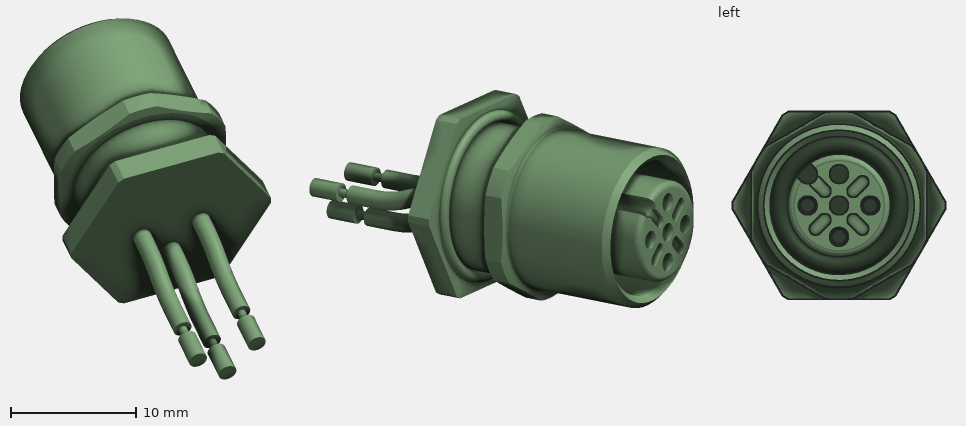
import cadquery as cq
import math


sleeve_front = 1.5
nut_front = 11.1
nut_rear = 13.0
flange_front = 17.2
flange_rear = 19.2

sleeve_diameter = 13.0
sleeve_bore_diameter = 11.0
sleeve_rim_diameter = 12.0
rim_chamfer = (sleeve_diameter - sleeve_rim_diameter) / 2
bore_chamfer = (sleeve_rim_diameter - sleeve_bore_diameter) / 2
neck_diameter = 12.0

nut_across_flats = 14.0
nut_corner_diameter = 15.0
blend_radius = 0.25
nut_face_diameter = sleeve_diameter + 2 * blend_radius
nut_chamfer_length = 0.2

flange_across_flats = 15.0
flange_corner_diameter = 17.0

insert_diameter = 8.2
insert_fillet = 0.5
contact_offset = 2.5
contact_hole_diameter = 1.5
contact_bore_diameter = 1.15
funnel_start = 2.5
funnel_length = 1.0
contact_hole_depth = 6.0
coding_notch_width = 1.5
coding_notch_radius = 3.5
coding_notch_angle = 45
slot_length = 2.03
slot_width = 1.0
slot_depth = 0.5
slot_center_radius = 2.13

inner_ring_section = (sleeve_bore_diameter - insert_diameter) / 2
inner_ring_radius = (sleeve_bore_diameter + insert_diameter) / 4
inner_ring_center = 8.0
bore_end = inner_ring_center + inner_ring_section / 2
coding_notch_depth = inner_ring_center - inner_ring_section / 2

flange_ring_section = 1.0
flange_ring_radius = (neck_diameter + flange_ring_section) / 2

wire_diameter = 1.5
core_diameter = 0.7
bend_start = 20.15
bend_length = 6.0
bend_drop = 1.2
bare_core_start = 28.6
bare_core_end = 29.6
wire_end = 32.15

contact_places = [
    (0, 0),
    (0, contact_offset),
    (contact_offset, 0),
    (-contact_offset, 0),
    (0, -contact_offset),
]
wired_places = contact_places[2:]


def section_plane(x):
    """Plane across the axis: local x is Y, local y is Z, normal is +X."""
    return cq.Workplane("YZ", origin=(x, 0, 0))


def disc(diameter, start, end, place=(0, 0)):
    return section_plane(start).center(*place).circle(diameter / 2).extrude(end - start)


def revolve_about_axis(profile):
    return profile.close().revolve(360, (0, 0, 0), (1, 0, 0))


def hexagon(across_flats, corner_diameter, start, end, turn):
    """Hexagonal plate with its corners cut back to a circle."""
    across_corners = across_flats / math.cos(math.pi / 6)
    plate = section_plane(start).polygon(6, across_corners).extrude(end - start)
    plate = plate.rotate((0, 0, 0), (1, 0, 0), turn)
    return plate.intersect(disc(corner_diameter, start, end))


def make_nut():
    face_radius = nut_face_diameter / 2
    corner_radius = nut_corner_diameter / 2
    envelope = revolve_about_axis(
        cq.Workplane("XY")
        .moveTo(nut_front, 0)
        .lineTo(nut_front, face_radius)
        .lineTo(nut_front + nut_chamfer_length, corner_radius)
        .lineTo(nut_rear - nut_chamfer_length, corner_radius)
        .lineTo(nut_rear, face_radius)
        .lineTo(nut_rear, 0)
    )
    return hexagon(nut_across_flats, nut_corner_diameter, nut_front, nut_rear, 30).intersect(envelope)


def make_sealing_ring(center, ring_radius, section_diameter):
    profile = cq.Workplane("XY").center(center, ring_radius).circle(section_diameter / 2)
    return profile.revolve(360, (0, -ring_radius, 0), (1, -ring_radius, 0))


def make_shell():
    """Sleeve, nut, neck and flange, with the sleeve bored out from the front."""
    rim_radius = sleeve_rim_diameter / 2
    outer_radius = sleeve_diameter / 2
    bore_radius = sleeve_bore_diameter / 2
    blend_mid = blend_radius * (1 - math.sqrt(0.5))
    shell = revolve_about_axis(
        cq.Workplane("XY")
        .moveTo(bore_end, 0)
        .lineTo(bore_end, bore_radius)
        .lineTo(sleeve_front + bore_chamfer, bore_radius)
        .lineTo(sleeve_front, rim_radius)
        .lineTo(sleeve_front + rim_chamfer, outer_radius)
        .lineTo(nut_front - blend_radius, outer_radius)
        .threePointArc(
            (nut_front - blend_mid, outer_radius + blend_mid),
            (nut_front, outer_radius + blend_radius),
        )
        .lineTo(nut_rear, outer_radius)
        .lineTo(nut_rear, neck_diameter / 2)
        .lineTo(flange_front, neck_diameter / 2)
        .lineTo(flange_front, 0)
    )
    flange = hexagon(flange_across_flats, flange_corner_diameter, flange_front, flange_rear, 0)
    return shell.union(make_nut()).union(flange)


def make_wire(place):
    y, z = place
    half_length = bend_length / 2
    half_drop = bend_drop / 2
    bend_radius = (half_length**2 + half_drop**2) / (2 * half_drop)
    bend_angle = math.asin(half_length / bend_radius)
    arc_x = bend_radius * math.sin(bend_angle / 2)
    arc_drop = bend_radius * (1 - math.cos(bend_angle / 2))
    bend_end = bend_start + bend_length
    path = (
        cq.Workplane("XZ", origin=(0, y, 0))
        .moveTo(flange_rear, z)
        .lineTo(bend_start, z)
        .threePointArc((bend_start + arc_x, z - arc_drop), (bend_start + half_length, z - half_drop))
        .threePointArc((bend_end - arc_x, z - bend_drop + arc_drop), (bend_end, z - bend_drop))
        .lineTo(bare_core_start, z - bend_drop)
    )
    insulation = section_plane(flange_rear).center(y, z).circle(wire_diameter / 2).sweep(path)
    end_place = (y, z - bend_drop)
    core = disc(core_diameter, bare_core_start, bare_core_end, end_place)
    tip = disc(wire_diameter, bare_core_end, wire_end, end_place)
    return insulation.union(core).union(tip)


def cut_contact_holes(insert):
    for place in contact_places:
        if place in wired_places:
            funnel = section_plane(funnel_start).center(*place).circle(contact_hole_diameter / 2)
            funnel = funnel.workplane(offset=funnel_length).circle(contact_bore_diameter / 2).loft()
            insert = insert.cut(disc(contact_hole_diameter, 0, funnel_start, place)).cut(funnel)
            insert = insert.cut(disc(contact_bore_diameter, funnel_start, contact_hole_depth, place))
        else:
            insert = insert.cut(disc(contact_hole_diameter, 0, contact_hole_depth, place))
    return insert


def cut_slots(insert):
    for angle in range(45, 360, 90):
        slot = section_plane(0).center(slot_center_radius, 0).slot2D(slot_length, slot_width)
        slot = slot.extrude(slot_depth)
        insert = insert.cut(slot.rotate((0, 0, 0), (1, 0, 0), angle))
    return insert


def cut_coding_notch(insert):
    """Round-bottomed groove along the insert, open to its outside."""
    cutter_length = insert_diameter
    middle = coding_notch_radius + (cutter_length - coding_notch_width) / 2
    notch = section_plane(0).center(middle, 0).slot2D(cutter_length, coding_notch_width)
    notch = notch.extrude(coding_notch_depth)
    return insert.cut(notch.rotate((0, 0, 0), (1, 0, 0), coding_notch_angle))


def make_connector():
    insert = disc(insert_diameter, 0, flange_rear).faces("<X").edges().fillet(insert_fillet)
    insert = cut_coding_notch(cut_slots(cut_contact_holes(insert)))
    connector = make_shell().union(insert)
    for place in wired_places:
        connector = connector.union(make_wire(place))
    return connector


inner_ring = make_sealing_ring(inner_ring_center, inner_ring_radius, inner_ring_section)
flange_ring = make_sealing_ring(flange_front, flange_ring_radius, flange_ring_section)
connector = make_connector().cut(flange_ring)

result = cq.Compound.makeCompound([connector.val(), inner_ring.val(), flange_ring.val()])